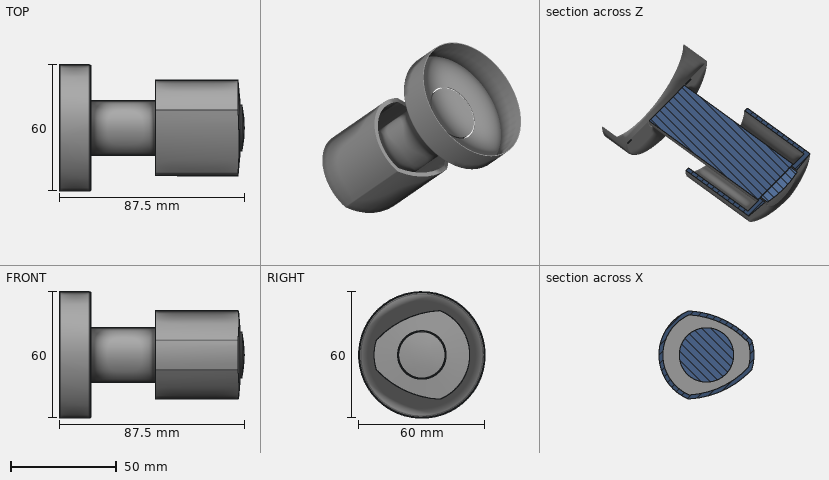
import cadquery as cq
import math

TOTAL_LENGTH = 87.55

FLANGE_DIAMETER = 60.0
FLANGE_BORE_DIAMETER = 59.2
FLANGE_LENGTH = 15.0
FLANGE_FLOOR_THICKNESS = 0.4
FLANGE_EDGE_RADIUS = 1.05
STEM_OPENING_DIAMETER = 27.2

STEM_DIAMETER = 26.0
STEM_START = FLANGE_LENGTH - FLANGE_FLOOR_THICKNESS

KNOB_RADIUS = 22.7
KNOB_WALL = 2.1
KNOB_START = 45.4
KNOB_DOME_TOP = 86.0
KNOB_DOME_RADIUS = 183.85
KNOB_CAVITY_END = 82.3
GRIP_NARROW_CORNER_Z = 7.0
GRIP_WIDE_CORNER_Y = 8.6
GRIP_FACE_RADIUS = 43.8
GRIP_CORNER_RADIUS = 1.0
CAP_OPENING_DIAMETER = 23.0

CAP_DIAMETER = 22.0
CAP_RIM_X = 86.4
CAP_DOME_HEIGHT = TOTAL_LENGTH - CAP_RIM_X


def cylinder(diameter, start, end):
    """Round bar along X between two X positions."""
    return cq.Workplane("YZ").workplane(offset=start).circle(diameter / 2).extrude(end - start)


def dome_ball(top, radius):
    """Ball whose +X end lies on the axis at the given X position."""
    return cq.Workplane("XY").sphere(radius).translate((top - radius, 0, 0))


def point_on_arc(start, end, radius):
    """Point on the shallow arc from start to end, straight out from the axis through the chord's middle."""
    middle_y = (start[0] + end[0]) / 2
    middle_z = (start[1] + end[1]) / 2
    half_chord = math.dist(start, end) / 2
    rise = radius - math.sqrt(radius**2 - half_chord**2)
    distance = math.hypot(middle_y, middle_z)
    stretch = (distance + rise) / distance
    return (middle_y * stretch, middle_z * stretch)


def mirrored(point):
    """The same point on the other side of the XY plane."""
    return (point[0], -point[1])


def knob_outline():
    """Knob cross-section at the open end: round on the +Y and -Y sides, a grip face above and below."""
    narrow_corner = (-math.sqrt(KNOB_RADIUS**2 - GRIP_NARROW_CORNER_Z**2), GRIP_NARROW_CORNER_Z)
    wide_corner = (GRIP_WIDE_CORNER_Y, math.sqrt(KNOB_RADIUS**2 - GRIP_WIDE_CORNER_Y**2))
    grip_middle = point_on_arc(narrow_corner, wide_corner, GRIP_FACE_RADIUS)
    return (
        cq.Workplane("YZ")
        .workplane(offset=KNOB_START)
        .moveTo(*narrow_corner)
        .threePointArc(grip_middle, wide_corner)
        .threePointArc((KNOB_RADIUS, 0), mirrored(wide_corner))
        .threePointArc(mirrored(grip_middle), mirrored(narrow_corner))
        .threePointArc((-KNOB_RADIUS, 0), narrow_corner)
        .close()
    )


def make_flange():
    flange = cylinder(FLANGE_DIAMETER, 0, FLANGE_LENGTH)
    flange = flange.faces(">X").edges().fillet(FLANGE_EDGE_RADIUS)
    flange = flange.cut(cylinder(FLANGE_BORE_DIAMETER, 0, STEM_START))
    return flange.cut(cylinder(STEM_OPENING_DIAMETER, STEM_START, FLANGE_LENGTH))


def make_stem():
    return cylinder(STEM_DIAMETER, STEM_START, KNOB_CAVITY_END)


def make_knob():
    body = knob_outline().extrude(KNOB_DOME_TOP - KNOB_START)
    body = body.edges("|X").fillet(GRIP_CORNER_RADIUS)
    body = body.intersect(dome_ball(KNOB_DOME_TOP, KNOB_DOME_RADIUS))
    cavity = knob_outline().offset2D(-KNOB_WALL).extrude(KNOB_CAVITY_END - KNOB_START)
    opening = cylinder(CAP_OPENING_DIAMETER, KNOB_CAVITY_END, KNOB_DOME_TOP)
    return body.cut(cavity).cut(opening)


def make_cap():
    rim_radius = CAP_DIAMETER / 2
    dome_radius = (rim_radius**2 + CAP_DOME_HEIGHT**2) / (2 * CAP_DOME_HEIGHT)
    blank = cylinder(CAP_DIAMETER, KNOB_CAVITY_END, TOTAL_LENGTH)
    return blank.intersect(dome_ball(TOTAL_LENGTH, dome_radius))


flange = make_flange()
stem = make_stem()
knob = make_knob()
cap = make_cap()

result = cq.Compound.makeCompound([flange.val(), stem.val(), knob.val(), cap.val()])